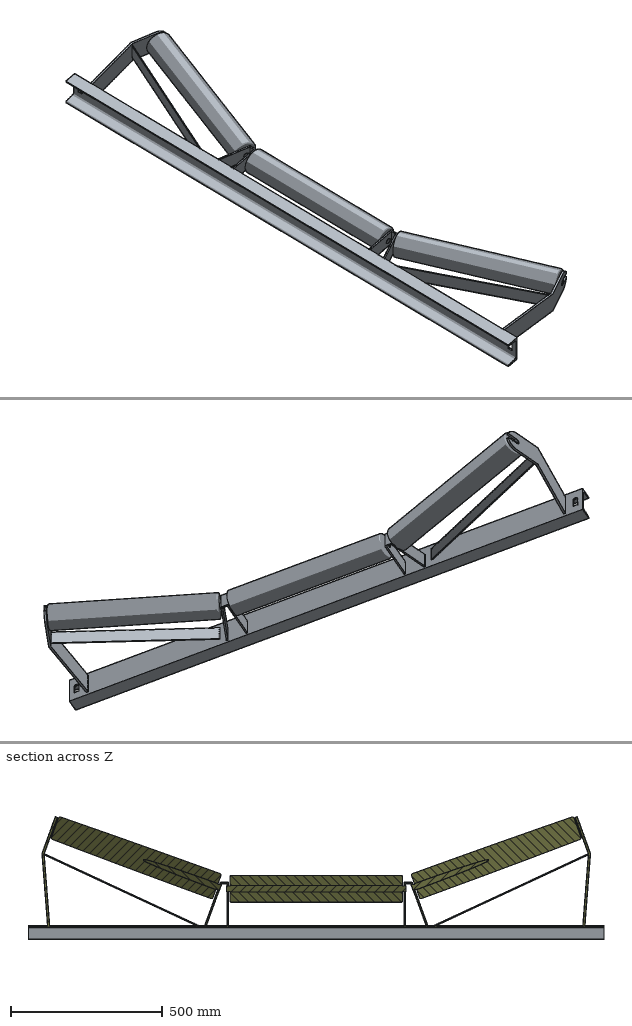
import cadquery as cq
import math

BEAM_LENGTH = 1900.0
BEAM_HEIGHT = 103.0
FLANGE_WIDTH = 45.0
WEB_THICKNESS = 5.0
FLANGE_TIP_THICKNESS = 6.6
FLANGE_ROOT_THICKNESS = 10.5
ROOT_FILLET = 8.0
TIP_FILLET = 4.0

MOUNT_SLOT_X = 923.0
MOUNT_SLOT_WIDTH = 17.0
MOUNT_SLOT_HEIGHT = 36.0

ROLLER_RADIUS = 44.6
ROLLER_LENGTH = 570.0
ROLLER_EDGE_FILLET = 5.0
SHAFT_RADIUS = 10.0
TROUGH_ANGLE = 20.0
TILT_ANGLE = 5.5
CENTRE_ROLLER_Y = 122.0
CENTRE_ROLLER_Z = -18.8
WING_CENTRE_X = 595.0
WING_CENTRE_Y = 226.0

SUPPORT_OFFSET = 293.0

ARM_THICKNESS = 8.0
ARM_HEIGHT = 80.0
ARM_FOOT_X = 884.0
ARM_BEND_Y = 238.0

STRUT_THICKNESS = 4.0
STRUT_HEIGHT = 53.0
STRUT_Z = 4.0
STRUT_FOOT_X = 391.0

BRACKET_THICKNESS = 5.0
BRACKET_HEIGHT = 57.0
BRACKET_Z = -15.0
BRACKET_TOP_Y = 140.0

COS_TROUGH = math.cos(math.radians(TROUGH_ANGLE))
SIN_TROUGH = math.sin(math.radians(TROUGH_ANGLE))
TAN_TROUGH = SIN_TROUGH / COS_TROUGH
TAN_TILT = math.tan(math.radians(TILT_ANGLE))
SHAFT_LENGTH = 2 * SUPPORT_OFFSET + ARM_THICKNESS


def axis_height(y):
    """Height at distance y from the web of the tilted plane that holds the roller axes."""
    return CENTRE_ROLLER_Z + (y - CENTRE_ROLLER_Y) * TAN_TILT


def wing_point(distance):
    """Point in plan on the +X wing axis, measured outward from the roller centre."""
    return (WING_CENTRE_X + distance * COS_TROUGH, WING_CENTRE_Y + distance * SIN_TROUGH)


def wing_direction(side):
    """Unit vector along the wing axis, pointing away from the centre roller on the given X side."""
    return cq.Vector(side * COS_TROUGH, SIN_TROUGH, SIN_TROUGH * TAN_TILT).normalized()


def rod(centre, direction, radius, length):
    """Cylinder centred on a point along a direction."""
    start = centre - direction * (length / 2)
    return cq.Workplane(cq.Solid.makeCylinder(radius, length, start, direction))


def make_roller(centre, direction):
    """Roller with rounded ends, bored through for its shaft."""
    body = rod(centre, direction, ROLLER_RADIUS, ROLLER_LENGTH)
    body = body.edges("%CIRCLE").fillet(ROLLER_EDGE_FILLET)
    return body.cut(rod(centre, direction, SHAFT_RADIUS, ROLLER_LENGTH))


def make_shaft(centre, direction):
    """Plain shaft that reaches through the bars at both ends of its roller."""
    return rod(centre, direction, SHAFT_RADIUS, SHAFT_LENGTH)


def bent_bar(points, thickness, height, z=0):
    """Upright flat bar that follows a plan polyline, with rounded bends."""
    legs = []
    for (x0, y0), (x1, y1) in zip(points, points[1:]):
        length = math.hypot(x1 - x0, y1 - y0)
        plane = cq.Plane(origin=(x0, y0, z), xDir=(x1 - x0, y1 - y0, 0), normal=(0, 0, 1))
        leg = cq.Workplane(plane).center(length / 2, 0).rect(length, thickness).extrude(height / 2, both=True)
        legs.append(leg)
    bar = legs[0]
    for leg in legs[1:]:
        bar = bar.union(leg)
    for x, y in points[1:-1]:
        corner = cq.Workplane(origin=(x, y, z)).circle(thickness / 2).extrude(height / 2, both=True)
        bar = bar.union(corner)
    return bar


def long_edges_at(y, z):
    """Selector for the pair of lengthwise beam edges at y and at heights +z and -z."""
    margin = 0.2
    low = (-margin, y - margin, -z - margin)
    high = (margin, y + margin, z + margin)
    return cq.selectors.BoxSelector(low, high)


def make_beam():
    """Channel with tapered flanges, rounded roots and tips, and a mounting slot at each end."""
    half_height = BEAM_HEIGHT / 2
    tip = half_height - FLANGE_TIP_THICKNESS
    root = half_height - FLANGE_ROOT_THICKNESS
    section = (
        cq.Workplane("YZ")
        .polyline([
            (0, half_height),
            (-FLANGE_WIDTH, half_height),
            (-FLANGE_WIDTH, tip),
            (-WEB_THICKNESS, root),
            (-WEB_THICKNESS, -root),
            (-FLANGE_WIDTH, -tip),
            (-FLANGE_WIDTH, -half_height),
            (0, -half_height),
        ])
        .close()
    )
    beam = section.extrude(BEAM_LENGTH / 2, both=True)
    beam = beam.edges(long_edges_at(-WEB_THICKNESS, root)).fillet(ROOT_FILLET)
    beam = beam.edges(long_edges_at(-FLANGE_WIDTH, tip)).fillet(TIP_FILLET)
    arch_radius = MOUNT_SLOT_WIDTH / 2
    top = MOUNT_SLOT_HEIGHT / 2
    for x in (-MOUNT_SLOT_X, MOUNT_SLOT_X):
        slot = (
            cq.Workplane("XZ")
            .moveTo(x - arch_radius, -top)
            .lineTo(x + arch_radius, -top)
            .lineTo(x + arch_radius, top - arch_radius)
            .threePointArc((x, top), (x - arch_radius, top - arch_radius))
            .close()
            .extrude(WEB_THICKNESS)
        )
        beam = beam.cut(slot)
    return beam


def make_arm():
    """Outer arm on +X with its strut: bent bar, round at the end, with an open slot for the shaft."""
    shaft_x, shaft_y = wing_point(SUPPORT_OFFSET)
    bend = (shaft_x + (shaft_y - ARM_BEND_Y) * TAN_TROUGH, ARM_BEND_Y)
    arm = bent_bar([(ARM_FOOT_X, 0), bend, (shaft_x, shaft_y)], ARM_THICKNESS, ARM_HEIGHT)
    face = cq.Plane(
        origin=(shaft_x, shaft_y, 0),
        xDir=(-SIN_TROUGH, COS_TROUGH, 0),
        normal=(COS_TROUGH, SIN_TROUGH, 0),
    )
    round_end = cq.Workplane(face).circle(ARM_HEIGHT / 2).extrude(ARM_THICKNESS / 2, both=True)
    slot = (
        cq.Workplane(face)
        .center(ARM_HEIGHT / 2, axis_height(shaft_y))
        .rect(ARM_HEIGHT, 2 * SHAFT_RADIUS)
        .extrude(ARM_THICKNESS, both=True)
    )
    strut = bent_bar([(STRUT_FOOT_X, 0), bend], STRUT_THICKNESS, STRUT_HEIGHT, STRUT_Z)
    return arm.union(round_end).cut(slot).union(strut)


def make_bracket():
    """Inner bracket on +X: one leg carries the centre shaft, the sloping leg the wing shaft."""
    shaft_x, shaft_y = wing_point(-SUPPORT_OFFSET)
    foot_x = shaft_x + shaft_y * TAN_TROUGH
    top_x = shaft_x - (BRACKET_TOP_Y - shaft_y) * TAN_TROUGH
    points = [
        (SUPPORT_OFFSET, 0),
        (SUPPORT_OFFSET, BRACKET_TOP_Y),
        (top_x, BRACKET_TOP_Y),
        (foot_x, 0),
    ]
    return bent_bar(points, BRACKET_THICKNESS, BRACKET_HEIGHT, BRACKET_Z)


def make_frame(shafts):
    """Welded frame: beam, arms, struts and brackets, bored where the shafts sit."""
    half = make_arm().union(make_bracket())
    frame = make_beam().union(half).union(half.mirror("YZ"))
    for shaft in shafts:
        frame = frame.cut(shaft)
    return frame


axes = [(cq.Vector(0, CENTRE_ROLLER_Y, CENTRE_ROLLER_Z), cq.Vector(1, 0, 0))]
for side in (-1, 1):
    wing_centre = cq.Vector(side * WING_CENTRE_X, WING_CENTRE_Y, axis_height(WING_CENTRE_Y))
    axes.append((wing_centre, wing_direction(side)))

rollers = [make_roller(centre, direction) for centre, direction in axes]
shafts = [make_shaft(centre, direction) for centre, direction in axes]
frame = make_frame(shafts)

result = cq.Compound.makeCompound([
    frame.val(),
    *[roller.val() for roller in rollers],
    *[shaft.val() for shaft in shafts],
])